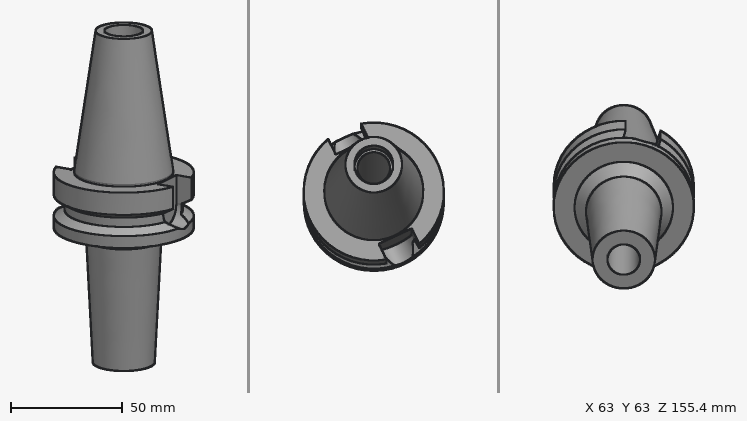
import cadquery as cq

total_height = 155.4
gauge_height = 90.0
flange_top = 89.0
groove_upper_edge = 78.6
groove_floor_top = 75.8
groove_floor_bottom = 71.5
groove_lower_edge = 68.7
flange_bottom = 63.1
neck_top = 58.0

gauge_radius = 22.2
taper_rate = 7 / 24
shank_top_radius = gauge_radius - (total_height - gauge_height) * taper_rate / 2
flange_radius = 63.0 / 2
groove_radius = 26.5
neck_radius = 17.0
nose_radius = 14.0
collar_radius = neck_radius + flange_bottom - neck_top

through_radius = 7.3
counterbore_radius = 8.7
counterbore_depth = 8.7

slot_width = 16.3
slot_floor_offset = 22.5
slot_bottom = 67.5


def turned_body():
    """Shank taper, grooved flange and nose, revolved about Z."""
    return (
        cq.Workplane("XZ")
        .polyline([
            (0, 0),
            (nose_radius, 0),
            (neck_radius, neck_top),
            (collar_radius, flange_bottom),
            (flange_radius, flange_bottom),
            (flange_radius, groove_lower_edge),
            (groove_radius, groove_floor_bottom),
            (groove_radius, groove_floor_top),
            (flange_radius, groove_upper_edge),
            (flange_radius, flange_top),
            (gauge_radius, flange_top),
            (gauge_radius, gauge_height),
            (shank_top_radius, total_height),
            (0, total_height),
        ])
        .close()
        .revolve(360, (0, 0), (0, 1))
    )


def bore():
    """Through hole with a counterbore at the small end of the shank."""
    through_hole = cq.Workplane("XY").circle(through_radius).extrude(total_height)
    counterbore = (
        cq.Workplane("XY")
        .workplane(offset=total_height - counterbore_depth)
        .circle(counterbore_radius)
        .extrude(counterbore_depth)
    )
    return through_hole.union(counterbore)


def drive_slot():
    """Round-bottomed slot on the +X side, open at the flange top."""
    half_width = slot_width / 2
    arc_height = slot_bottom + half_width
    return (
        cq.Workplane("YZ")
        .workplane(offset=slot_floor_offset)
        .moveTo(-half_width, flange_top)
        .lineTo(-half_width, arc_height)
        .threePointArc((0, slot_bottom), (half_width, arc_height))
        .lineTo(half_width, flange_top)
        .close()
        .extrude(flange_radius - slot_floor_offset)
    )


result = turned_body().cut(bore())
for angle in (0, 180):
    result = result.cut(drive_slot().rotate((0, 0, 0), (0, 0, 1), angle))